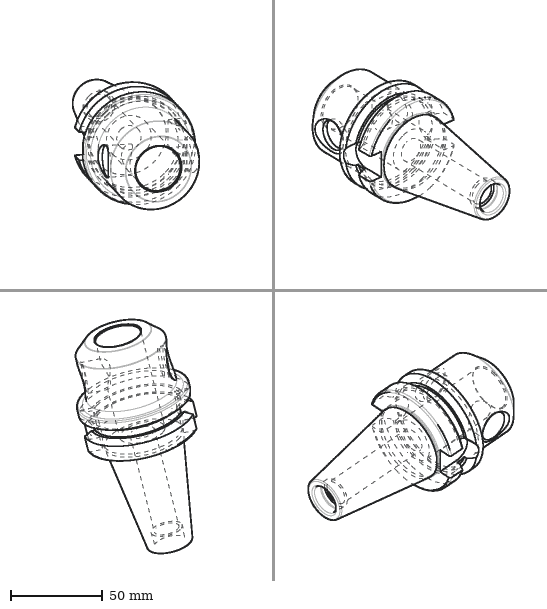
import cadquery as cq
import math

taper_length = 65.4
nose_end_x = 63.5
flange_start_x = 2.0
flange_end_x = 27.0

taper_ratio = 7 / 24
gauge_radius = 44.45 / 2
taper_end_radius = gauge_radius - taper_length * taper_ratio / 2
taper_end_round = 0.8
neck_radius = 44.0 / 2
neck_start_x = 0.8

flange_radius = 63.0 / 2
flange_rear_round = 1.0
flange_front_round = 0.8
neck_fillet = 0.5
groove_start_x = 14.1
groove_end_x = 19.1
groove_floor_radius = 50.8 / 2
groove_wall_radius = 27.1
groove_flank_angle = 30.0
groove_flank_run = (flange_radius - groove_wall_radius) * math.tan(math.radians(groove_flank_angle))

nose_radius = 50.8 / 2
nose_fillet = 3.0
nose_cone_length = 6.95
nose_face_radius = 18.7
nose_edge_round = 0.5

slot_width = 16.1
slot_centre_x = 15.1
slot_floor_y = 22.6

tool_bore_radius = 25.4 / 2
tool_bore_mouth_radius = 26.6 / 2
tool_bore_depth = 60.0
pilot_radius = 17.0 / 2
pilot_mouth_round = 1.0
pilot_length = 5.8
relief_radius = 17.6 / 2
relief_cone_length = 1.0
relief_end = 9.0
drawbar_radius = 13.84 / 2

hole_x = 42.6
hole_radius = 17.32 / 2
screw_rim_radius = 10.6
balance_rim_radius = 11.75
screw_floor_y = 0.0
balance_depth = 6.0
balance_floor_y = nose_radius - balance_depth


def arc_slack(radius):
    """Distance from either tangent line to the midpoint of a quarter-circle corner arc."""
    return radius * (1 - math.sqrt(0.5))


def make_body():
    """Revolved outer form: taper, neck, grooved flange and nose."""
    nose_cone_point = (nose_end_x - nose_cone_length / 2, 0, 0)
    rear_edge = flange_radius - flange_rear_round
    front_edge = flange_radius - flange_front_round
    rear_slack = arc_slack(flange_rear_round)
    front_slack = arc_slack(flange_front_round)
    neck_slack = arc_slack(neck_fillet)
    nose_slack = arc_slack(nose_fillet)
    profile = (
        cq.Workplane("XY")
        .moveTo(-taper_length, 0)
        .lineTo(-taper_length, taper_end_radius)
        .lineTo(0, gauge_radius)
        .lineTo(neck_start_x, neck_radius)
        .lineTo(flange_start_x - neck_fillet, neck_radius)
        .threePointArc(
            (flange_start_x - neck_slack, neck_radius + neck_slack),
            (flange_start_x, neck_radius + neck_fillet),
        )
        .lineTo(flange_start_x, rear_edge)
        .threePointArc(
            (flange_start_x + rear_slack, flange_radius - rear_slack),
            (flange_start_x + flange_rear_round, flange_radius),
        )
        .lineTo(groove_start_x - groove_flank_run, flange_radius)
        .lineTo(groove_start_x, groove_wall_radius)
        .lineTo(groove_start_x, groove_floor_radius)
        .lineTo(groove_end_x, groove_floor_radius)
        .lineTo(groove_end_x, groove_wall_radius)
        .lineTo(groove_end_x + groove_flank_run, flange_radius)
        .lineTo(flange_end_x - flange_front_round, flange_radius)
        .threePointArc(
            (flange_end_x - front_slack, flange_radius - front_slack),
            (flange_end_x, front_edge),
        )
        .lineTo(flange_end_x, nose_radius + nose_fillet)
        .threePointArc(
            (flange_end_x + nose_slack, nose_radius + nose_slack),
            (flange_end_x + nose_fillet, nose_radius),
        )
        .lineTo(nose_end_x - nose_cone_length, nose_radius)
        .lineTo(nose_end_x, nose_face_radius)
        .lineTo(nose_end_x, 0)
        .close()
    )
    body = profile.revolve(360, (0, 0, 0), (1, 0, 0))
    body = body.faces("<X").edges().fillet(taper_end_round)
    nose_cone = body.faces("%CONE").faces(cq.selectors.NearestToPointSelector(nose_cone_point))
    return nose_cone.edges("%CIRCLE").fillet(nose_edge_round)


def make_axial_bore():
    """Revolved cavity: drawbar pilot, relief, drawbar hole and tool bore."""
    pilot_start = -taper_length
    tool_bore_floor = nose_end_x - tool_bore_depth
    mouth_slack = arc_slack(pilot_mouth_round)
    pilot_end = pilot_start + pilot_length
    relief_floor = pilot_start + relief_end
    tool_chamfer = tool_bore_mouth_radius - tool_bore_radius
    return (
        cq.Workplane("XY")
        .moveTo(pilot_start, 0)
        .lineTo(pilot_start, pilot_radius + pilot_mouth_round)
        .threePointArc(
            (pilot_start + mouth_slack, pilot_radius + mouth_slack),
            (pilot_start + pilot_mouth_round, pilot_radius),
        )
        .lineTo(pilot_end, pilot_radius)
        .lineTo(pilot_end + relief_cone_length, relief_radius)
        .lineTo(relief_floor, relief_radius)
        .lineTo(relief_floor, drawbar_radius)
        .lineTo(tool_bore_floor, drawbar_radius)
        .lineTo(tool_bore_floor, tool_bore_radius)
        .lineTo(nose_end_x - tool_chamfer, tool_bore_radius)
        .lineTo(nose_end_x, tool_bore_mouth_radius)
        .lineTo(nose_end_x, 0)
        .close()
        .revolve(360, (0, 0, 0), (1, 0, 0))
    )


def make_drive_slot(side):
    """Round-ended slot open toward the taper, on the side = +1 or -1 along Y."""
    straight = cq.Workplane("XY").box(
        slot_centre_x, flange_radius, slot_width, centered=(False, False, True)
    )
    end = cq.Workplane("XZ").center(slot_centre_x, 0).circle(slot_width / 2).extrude(-flange_radius)
    slot = straight.union(end).translate((0, slot_floor_y, 0))
    return slot if side > 0 else slot.mirror("XZ")


def make_radial_hole(side, rim_radius, floor_y):
    """Hole along Y with a 45 degree countersink reaching rim_radius at the nose surface."""
    cone_end_y = nose_radius - (rim_radius - hole_radius)
    hole = (
        cq.Workplane("XY")
        .moveTo(hole_x, floor_y)
        .lineTo(hole_x + hole_radius, floor_y)
        .lineTo(hole_x + hole_radius, cone_end_y)
        .lineTo(hole_x + rim_radius, nose_radius)
        .lineTo(hole_x, nose_radius)
        .close()
        .revolve(360, (hole_x, 0, 0), (hole_x, 1, 0))
    )
    return hole if side > 0 else hole.mirror("XZ")


result = make_body().cut(make_axial_bore())
for slot_side in (1, -1):
    result = result.cut(make_drive_slot(slot_side))
result = result.cut(make_radial_hole(-1, screw_rim_radius, screw_floor_y))
result = result.cut(make_radial_hole(1, balance_rim_radius, balance_floor_y))